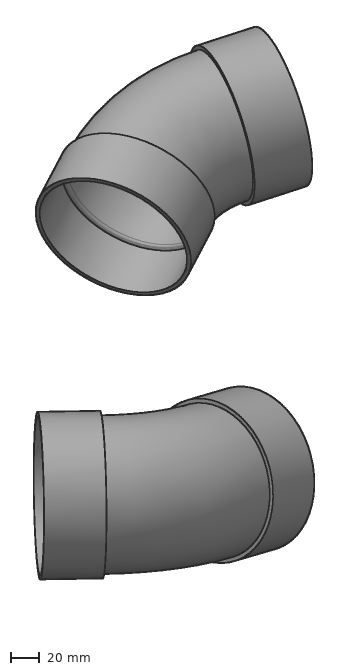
import cadquery as cq
import math

bend_angle = 45.0
bend_radius = 109.4
pipe_outer_d = 110.0
wall = 3.0
socket_depth = 43.2

pipe_bore_r = pipe_outer_d / 2 - wall
socket_bore_r = pipe_outer_d / 2
socket_outer_r = socket_bore_r + wall

angle = math.radians(bend_angle)
bend_end = cq.Vector(bend_radius * (1 - math.cos(angle)), bend_radius * math.sin(angle), 0)

socket_placements = (
    (cq.Vector(0, 0, 0), cq.Vector(0, -1, 0)),
    (bend_end, cq.Vector(math.sin(angle), math.cos(angle), 0)),
)


def bend(radius):
    """Solid bend of circular section, turned about an axis parallel to Z."""
    section = cq.Workplane("XZ").circle(radius)
    return section.revolve(bend_angle, (bend_radius, 0), (bend_radius, -1))


def socket_profile_plane(base, direction):
    """Workplane with its local X radial and its local Y along the socket axis."""
    radial = cq.Vector(0, 0, 1)
    return cq.Workplane(cq.Plane(origin=base, xDir=radial, normal=radial.cross(direction)))


def socket_body(base, direction):
    """Solid cylinder around the outside of a socket."""
    profile = socket_profile_plane(base, direction).moveTo(0, 0)
    profile = profile.lineTo(socket_outer_r, 0).lineTo(socket_outer_r, socket_depth)
    return profile.lineTo(0, socket_depth).close().revolve(360, (0, 0), (0, 1))


def socket_cavity(base, direction):
    """Socket bore, with a stop shoulder rounded smoothly into the pipe bore."""
    diagonal = wall * math.sqrt(0.5)
    round_middle = (socket_bore_r - diagonal, diagonal)
    profile = socket_profile_plane(base, direction).moveTo(0, 0).lineTo(pipe_bore_r, 0)
    profile = profile.threePointArc(round_middle, (socket_bore_r, wall))
    profile = profile.lineTo(socket_bore_r, socket_depth).lineTo(0, socket_depth)
    return profile.close().revolve(360, (0, 0), (0, 1))


outside = bend(pipe_outer_d / 2)
inside = bend(pipe_bore_r)
for base, direction in socket_placements:
    outside = outside.union(socket_body(base, direction))
    inside = inside.union(socket_cavity(base, direction))

result = outside.cut(inside)